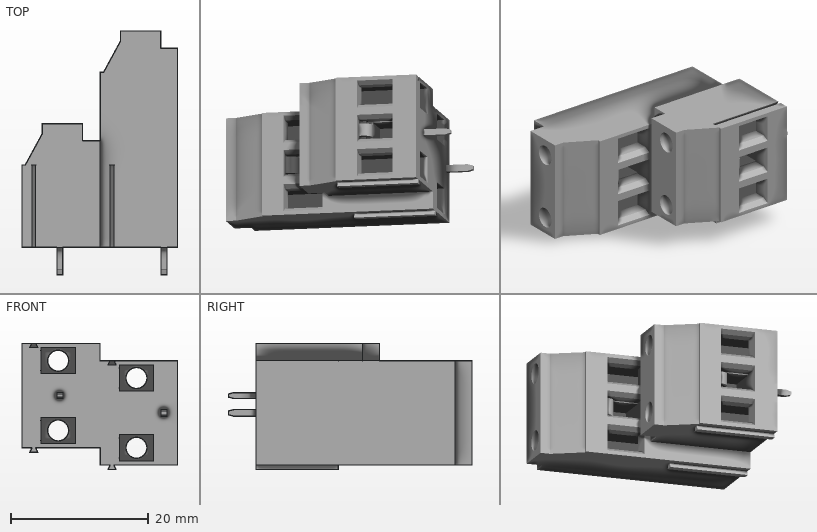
import cadquery as cq
import math


total_width = 22.7
short_width = 11.4
tall_width = total_width - short_width
row_pitch = 5.08
row_count = 3
housing_height = row_count * row_pitch
short_rise = 2.52
short_depth = 18.0
tall_depth = 31.5

ledge_width = 0.5
ledge_drop = 6.0
nose_start = 2.95
nose_end = 8.85
nose_drop = 1.5
shelf_drop = 2.5

pocket_center = 5.3
pocket_width = 5.0
pocket_height = 3.8
pocket_overrun = 1.25
screw_hole_diameter = 3.0

window_height = 3.98
throat_height = 2.9
funnel_depth = 0.92
short_window_start = 3.5
short_window_end = 8.77
tall_window_start = 16.47
tall_window_end = 22.22

contact_depth = 2.85
contact_opening_offset = 1.7
contact_opening_height = 2.6
tab_depth = 1.17
tab_radius = 1.15
short_tab_height = 1.8
tall_tab_height = 2.5
heel_depth = 2.3
heel_radius = 0.25

dovetail_center = 1.75
dovetail_neck = 0.57
dovetail_foot = 1.2
dovetail_height = 0.65
dovetail_length = 12.0

pin_width = 0.9
short_pin_height = 0.9
tall_pin_height = 1.0
pin_length = 35.5 - tall_depth
pin_taper_length = 0.78
pin_tip_inset = 0.2
short_pin_center = 5.55
tall_pin_center = 20.7


def extrude_z(outline, low, high):
    """Extrude an XY outline between two Z levels."""
    return outline.extrude(high - low).translate((0, 0, low))


def extrude_y(points, start, end):
    """Extrude an XZ polygon between two Y positions."""
    profile = cq.Workplane("XZ", origin=(0, start, 0)).polyline(points).close()
    return profile.extrude(start - end)


def box_between(x_range, y_range, z_range):
    lengths = [high - low for low, high in (x_range, y_range, z_range)]
    corner = (x_range[0], y_range[0], z_range[0])
    return cq.Workplane("XY").box(*lengths, centered=False).translate(corner)


def housing_blank(width, depth):
    points = [
        (0, 0),
        (width, 0),
        (width, depth - shelf_drop),
        (nose_end, depth - shelf_drop),
        (nose_end, depth),
        (nose_start, depth),
        (nose_start, depth - nose_drop),
        (ledge_width, depth - ledge_drop),
        (0, depth - ledge_drop),
    ]
    return extrude_z(cq.Workplane("XY").polyline(points).close(), 0, housing_height)


def dovetail(base_z):
    """Dovetail hanging down from base_z, narrow at the top."""
    points = [
        (dovetail_center - dovetail_neck / 2, base_z),
        (dovetail_center + dovetail_neck / 2, base_z),
        (dovetail_center + dovetail_foot / 2, base_z - dovetail_height),
        (dovetail_center - dovetail_foot / 2, base_z - dovetail_height),
    ]
    return extrude_y(points, 0, dovetail_length)


def wire_window(center_z, start, end, depth):
    """Window with sloped upper and lower lips leading into a straight throat."""
    points = [
        (0, center_z - window_height / 2),
        (funnel_depth, center_z - throat_height / 2),
        (depth, center_z - throat_height / 2),
        (depth, center_z + throat_height / 2),
        (funnel_depth, center_z + throat_height / 2),
        (0, center_z + window_height / 2),
    ]
    return extrude_y(points, start, end)


def screw_pocket(center_z, depth):
    return box_between(
        (pocket_center - pocket_width / 2, pocket_center + pocket_width / 2),
        (0, depth),
        (center_z - pocket_height / 2, center_z + pocket_height / 2),
    )


def screw_hole(center_z, depth):
    circle = cq.Workplane("XZ", origin=(pocket_center, 0, center_z)).circle(screw_hole_diameter / 2)
    return circle.extrude(-depth)


def rounded_block(front, window_end, curve_end, radius, center_z, height):
    """Block on the throat's far Y wall whose -X face curves a quarter turn into its -Y face."""
    curve_start = curve_end + radius
    middle = radius * math.sqrt(0.5)
    outline = (
        cq.Workplane("XY")
        .moveTo(contact_depth, window_end)
        .lineTo(front, window_end)
        .lineTo(front, curve_start)
        .threePointArc(
            (front + radius - middle, curve_start - middle),
            (front + radius, curve_end),
        )
        .lineTo(contact_depth, curve_end)
        .close()
    )
    return extrude_z(outline, center_z - height / 2, center_z + height / 2)


def contact_tab(center_z, window_end, height):
    curve_end = window_end - contact_opening_offset
    return rounded_block(tab_depth, window_end, curve_end, tab_radius, center_z, height)


def contact_heel(center_z, window_end):
    curve_end = window_end - contact_opening_offset + tab_radius - heel_radius
    return rounded_block(heel_depth, window_end, curve_end, heel_radius, center_z, throat_height)


def housing(width, depth, window_start, window_end, tab_height):
    """One housing with its -X face at X = 0 and its underside at Z = 0."""
    rows = [row_pitch * (row + 0.5) for row in range(row_count)]
    lower_row, middle_row, upper_row = rows
    body = housing_blank(width, depth)

    pocket_near_side = pocket_center - pocket_width / 2
    for center_z in (lower_row, upper_row):
        body = body.cut(wire_window(center_z, window_start, window_end, pocket_near_side))
        body = body.cut(screw_pocket(center_z, window_end + pocket_overrun))
        body = body.cut(screw_hole(center_z, depth))

    body = body.cut(wire_window(middle_row, window_start, window_end, contact_depth))
    contact_opening = box_between(
        (contact_depth, pocket_center + pocket_width / 2),
        (window_start, window_end - contact_opening_offset),
        (middle_row - contact_opening_height / 2, middle_row + contact_opening_height / 2),
    )
    body = body.cut(contact_opening)
    body = body.union(contact_tab(middle_row, window_end, tab_height))

    body = body.cut(dovetail(housing_height))
    return body.union(dovetail(0))


def solder_pin(center_x, center_z, height):
    half_height = height / 2
    tip_half_height = half_height - pin_tip_inset
    taper_start = pin_taper_length - pin_length
    points = [
        (0, -half_height),
        (taper_start, -half_height),
        (-pin_length, -tip_half_height),
        (-pin_length, tip_half_height),
        (taper_start, half_height),
        (0, half_height),
    ]
    pin = cq.Workplane("YZ").polyline(points).close().extrude(pin_width / 2, both=True)
    return pin.translate((center_x, 0, center_z))


short_housing = housing(
    short_width, short_depth, short_window_start, short_window_end, short_tab_height
)
short_housing = short_housing.union(contact_heel(housing_height / 2, short_window_end))
tall_housing = housing(
    tall_width, tall_depth, tall_window_start, tall_window_end, tall_tab_height
)

result = (
    short_housing.translate((0, 0, short_rise))
    .union(tall_housing.translate((short_width, 0, 0)))
    .union(solder_pin(short_pin_center, short_rise + housing_height / 2, short_pin_height))
    .union(solder_pin(tall_pin_center, housing_height / 2, tall_pin_height))
)